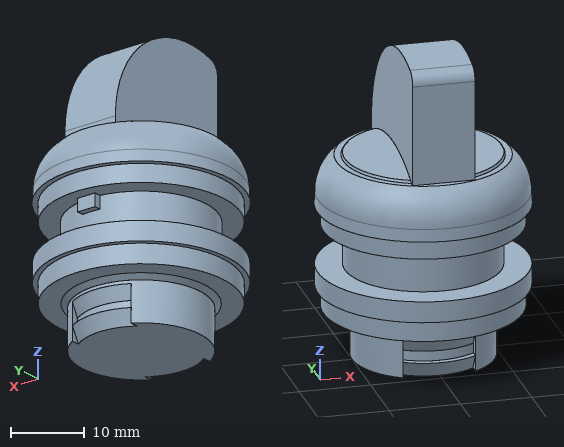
import cadquery as cq
import math

BARREL_TOP = 6.35
RING_BOTTOM = 7.0
NUT_BOTTOM = 10.05
NUT_TOP = 13.1
WASHER_BOTTOM = 19.0
BEZEL_BOTTOM = 21.8
BEZEL_CURVE_START = 23.6
BEZEL_TOP = 28.85
DOME_EDGE = 29.25
TOTAL_HEIGHT = 45.9

BARREL_RADIUS = 10.0
SHOULDER_RADIUS = 10.9
RING_RADIUS = 14.0
NUT_RADIUS = 14.8
NECK_RADIUS = 10.95
BEZEL_DIAMETER = 29.7
BEZEL_RADIUS = BEZEL_DIAMETER / 2
BEZEL_CURVE_RADIUS = 14.75
BEZEL_TOP_RADIUS = 12.1
BEZEL_ARC_MIDPOINT = (13.85, 26.95)
DOME_BASE_RADIUS = 11.15
DOME_EDGE_RADIUS = 10.95
DOME_SPHERE_RADIUS = 25.25

HANDLE_WIDTH = 8.75
HANDLE_REACH = 11.15
HANDLE_ARC_RADIUS = 16.0
HANDLE_NOSE_RADIUS = 2.0

KEY_WIDTH = 3.0
KEY_REACH = 12.0
KEY_BOTTOM = 17.0

RECESS_WIDTH = 10.15
RECESS_TOP = 5.85
RECESS_FLOOR_TOP = 3.7
RECESS_FLOOR_BOTTOM = 2.3
RECESS_FLOOR_RADIUS = 9.1
BARB_TIP_RADIUS = 8.9
CUT_CLEARANCE = 0.45


def make_body():
    """Revolve the barrel, ring, nut, neck, washer, bezel and dome as one profile."""
    dome_rise = DOME_SPHERE_RADIUS - math.sqrt(DOME_SPHERE_RADIUS**2 - DOME_EDGE_RADIUS**2)
    dome_top = DOME_EDGE + dome_rise
    half_angle = math.asin(DOME_EDGE_RADIUS / DOME_SPHERE_RADIUS) / 2
    dome_midpoint = (
        DOME_SPHERE_RADIUS * math.sin(half_angle),
        dome_top - DOME_SPHERE_RADIUS * (1 - math.cos(half_angle)),
    )
    return (
        cq.Workplane("XZ")
        .moveTo(0, 0)
        .lineTo(BARREL_RADIUS, 0)
        .lineTo(BARREL_RADIUS, BARREL_TOP)
        .lineTo(SHOULDER_RADIUS, RING_BOTTOM)
        .lineTo(RING_RADIUS, RING_BOTTOM)
        .lineTo(RING_RADIUS, NUT_BOTTOM)
        .lineTo(NUT_RADIUS, NUT_BOTTOM)
        .lineTo(NUT_RADIUS, NUT_TOP)
        .lineTo(NECK_RADIUS, NUT_TOP)
        .lineTo(NECK_RADIUS, WASHER_BOTTOM)
        .lineTo(RING_RADIUS, WASHER_BOTTOM)
        .lineTo(RING_RADIUS, BEZEL_BOTTOM)
        .lineTo(BEZEL_RADIUS, BEZEL_BOTTOM)
        .lineTo(BEZEL_CURVE_RADIUS, BEZEL_CURVE_START)
        .threePointArc(BEZEL_ARC_MIDPOINT, (BEZEL_TOP_RADIUS, BEZEL_TOP))
        .lineTo(DOME_BASE_RADIUS, BEZEL_TOP)
        .lineTo(DOME_EDGE_RADIUS, DOME_EDGE)
        .threePointArc(dome_midpoint, (0, dome_top))
        .close()
        .revolve(360, (0, 0, 0), (0, 1, 0))
    )


def make_handle():
    """Upright grip: a large arc from the back, blended into a flat front face."""
    arc_y = HANDLE_REACH - HANDLE_ARC_RADIUS
    arc_z = TOTAL_HEIGHT - HANDLE_ARC_RADIUS
    front_drop = math.sqrt(HANDLE_ARC_RADIUS**2 - (HANDLE_REACH + arc_y) ** 2)
    front_corner = (-HANDLE_REACH, arc_z + front_drop)
    handle = (
        cq.Workplane("YZ")
        .moveTo(-HANDLE_REACH, BEZEL_BOTTOM)
        .lineTo(HANDLE_REACH, BEZEL_BOTTOM)
        .lineTo(HANDLE_REACH, arc_z)
        .threePointArc((arc_y, TOTAL_HEIGHT), front_corner)
        .close()
        .extrude(HANDLE_WIDTH / 2, both=True)
    )
    nose_edge = cq.selectors.NearestToPointSelector((0, *front_corner))
    return handle.edges("|X").edges(nose_edge).fillet(HANDLE_NOSE_RADIUS)


def make_key():
    """Small block against the back of the neck, under the washer."""
    return cq.Workplane("XY").box(
        KEY_WIDTH, KEY_REACH, BEZEL_BOTTOM - KEY_BOTTOM, centered=(True, False, False)
    ).translate((0, 0, KEY_BOTTOM))


def make_snap_recesses():
    """Undercut ring with a barb below it, kept only across the recess width."""
    outside = BARREL_RADIUS + CUT_CLEARANCE
    undercut = (
        cq.Workplane("XZ")
        .moveTo(BARB_TIP_RADIUS, 0)
        .lineTo(BARREL_RADIUS, RECESS_FLOOR_BOTTOM)
        .lineTo(RECESS_FLOOR_RADIUS, RECESS_FLOOR_BOTTOM)
        .lineTo(RECESS_FLOOR_RADIUS, RECESS_FLOOR_TOP)
        .lineTo(BARREL_RADIUS, RECESS_TOP)
        .lineTo(outside, RECESS_TOP)
        .lineTo(outside, 0)
        .close()
        .revolve(360, (0, 0, 0), (0, 1, 0))
    )
    window = cq.Workplane("XY").box(
        RECESS_WIDTH, 2 * outside, RECESS_TOP, centered=(True, True, False)
    )
    return undercut.intersect(window)


result = make_body().union(make_handle()).union(make_key()).cut(make_snap_recesses())